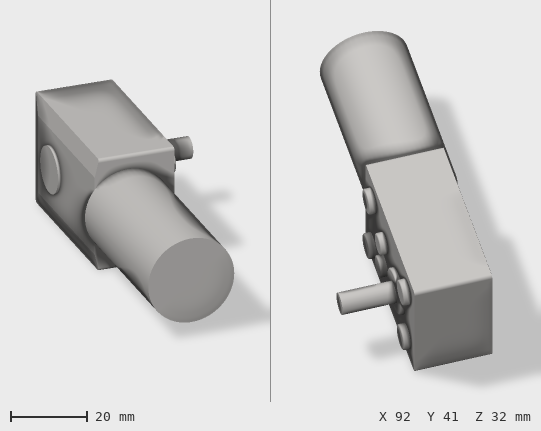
import cadquery as cq

housing_length = 46.0
housing_height = 32.0
wall_depth = 21.1
housing_depth = 22.3
bevel_width = 5.0
corner_radius = 0.9

motor_diameter = 24.0
motor_length = 46.0
motor_axis_depth = 13.0

shaft_x = 15.0
shaft_diameter = 6.0
shaft_reach = 16.0
collar_diameter = 12.7
collar_height = 1.3
cap_diameter = 13.0
cap_height = 0.8

boss_height = 1.9
corner_boss_diameter = 7.0
corner_boss_xs = (6.9, 39.0)
corner_boss_z = 9.0
middle_boss_diameter = 6.0
middle_boss_x = 28.0
middle_boss_z = corner_boss_z / 2
boss_rounding = 0.5


def rear_cylinder(x, z, diameter, height):
    """Cylinder standing on the mounting face and pointing towards +Y."""
    return cq.Workplane("XZ", origin=(x, 0, z)).circle(diameter / 2).extrude(-height)


def rear_boss(x, z, diameter, height):
    """Cylinder on the mounting face with a rounded outer rim."""
    return rear_cylinder(x, z, diameter, height).faces(">Y").edges().fillet(boss_rounding)


def make_housing():
    """Block whose front is bevelled along the left, top and bottom sides."""
    block = (
        cq.Workplane("XZ")
        .rect(housing_length, housing_height)
        .extrude(housing_depth)
        .translate((housing_length / 2, 0, 0))
        .edges("|Y")
        .fillet(corner_radius)
    )
    half_height = housing_height / 2
    side_profile = (
        cq.Workplane("YZ")
        .polyline([
            (0, -half_height),
            (0, half_height),
            (-wall_depth, half_height),
            (-housing_depth, half_height - bevel_width),
            (-housing_depth, bevel_width - half_height),
            (-wall_depth, -half_height),
        ])
        .close()
        .extrude(housing_length)
    )
    end_profile = (
        cq.Workplane("XY")
        .polyline([
            (0, 0),
            (housing_length, 0),
            (housing_length, -housing_depth),
            (bevel_width, -housing_depth),
            (0, -wall_depth),
        ])
        .close()
        .extrude(half_height, both=True)
    )
    return block.intersect(side_profile).intersect(end_profile)


housing = make_housing()

motor = (
    cq.Workplane("YZ", origin=(housing_length, -motor_axis_depth, 0))
    .circle(motor_diameter / 2)
    .extrude(motor_length)
)

shaft = rear_cylinder(shaft_x, 0, shaft_diameter, shaft_reach)
collar = rear_boss(shaft_x, 0, collar_diameter, collar_height)
cap = (
    cq.Workplane("XZ", origin=(shaft_x, -housing_depth, 0))
    .circle(cap_diameter / 2)
    .extrude(cap_height)
)

result = housing.union(motor).union(shaft).union(collar).union(cap)

for side in (-1, 1):
    for boss_x in corner_boss_xs:
        result = result.union(rear_boss(boss_x, side * corner_boss_z, corner_boss_diameter, boss_height))
    result = result.union(
        rear_boss(middle_boss_x, side * middle_boss_z, middle_boss_diameter, boss_height)
    )